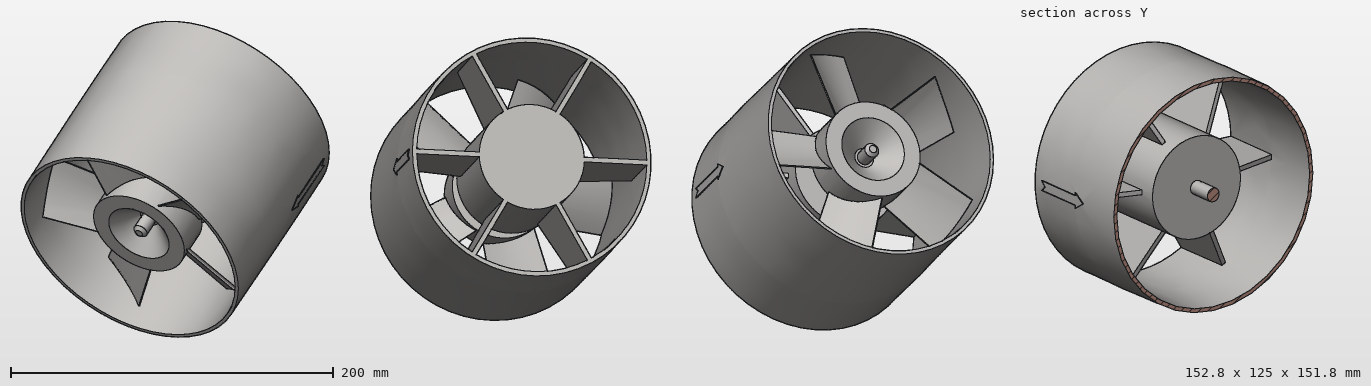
import cadquery as cq
import math


duct_length = 125.0
seam_y = 81.0
seam_outer_radius = 75.9
seam_inner_radius = 72.5
draft_angle = 0.4

arrow_top_radius = 76.4
arrow_tip_y = 72.4
arrow_tail_y = 116.7
arrow_notch_depth = 3.5
arrow_head_half_width = 5.2
arrow_stem_half_width = 3.2

hub_radius = 31.5
hub_front_y = 12.8
hub_length = 24.3
recess_mouth_radius = 20.9
recess_floor_radius = 6.3
recess_depth = 14.7
shaft_radius = 4.6
shaft_chamfer = 2.1

blade_count = 5
first_blade_angle = 39.8
blade_tip_radius = 70.7
blade_mid_y = 25.0
blade_stagger = 33.0
blade_thickness = 0.8
blade_root_station = 27.5
blade_end_station = 71.8
blade_root_chord = 34.8
blade_end_chord = 40.0
camber_ratio = 0.06

body_radius = 33.3
body_gap = 21.4
strut_count = 6
strut_thickness = 3.0
strut_slope = 15.0
joint_overlap = 1.2

hub_back_y = hub_front_y + hub_length
body_front_y = hub_back_y + body_gap


def revolve_about_axis(points):
    """Revolve a closed (radius, y) outline about the Y axis."""
    return cq.Workplane("XY").polyline(points).close().revolve(360, (0, 0), (0, 1))


def copies_about_axis(solid, count, first_angle=0.0):
    """Copies of a solid spaced evenly about Y, with angles counted from +X towards +Z."""
    step = 360.0 / count
    return [solid.rotate((0, 0, 0), (0, 1, 0), -(first_angle + i * step)) for i in range(count)]


def make_duct():
    taper = math.tan(math.radians(draft_angle))
    front_inset = seam_y * taper
    back_inset = (duct_length - seam_y) * taper
    return revolve_about_axis([
        (seam_outer_radius - front_inset, 0),
        (seam_outer_radius, seam_y),
        (seam_outer_radius - back_inset, duct_length),
        (seam_inner_radius + back_inset, duct_length),
        (seam_inner_radius, seam_y),
        (seam_inner_radius + front_inset, 0),
    ])


def make_arrows():
    half_outline = [
        (arrow_tip_y, 0),
        (seam_y, arrow_head_half_width),
        (seam_y, arrow_stem_half_width),
        (arrow_tail_y, arrow_stem_half_width),
        (arrow_tail_y - arrow_notch_depth, 0),
    ]
    mirrored_half = [(y, -z) for y, z in reversed(half_outline[1:-1])]
    wall_middle = (seam_outer_radius + seam_inner_radius) / 2
    prism = (
        cq.Workplane("YZ")
        .polyline(half_outline + mirrored_half)
        .close()
        .extrude(arrow_top_radius, both=True)
    )
    raised_skin = (
        cq.Workplane("XZ")
        .circle(arrow_top_radius)
        .circle(wall_middle)
        .extrude(-duct_length)
    )
    return prism.intersect(raised_skin)


def make_hub():
    floor_y = hub_front_y + recess_depth
    return revolve_about_axis([
        (0, hub_back_y),
        (hub_radius, hub_back_y),
        (hub_radius, hub_front_y),
        (recess_mouth_radius, hub_front_y),
        (recess_floor_radius, floor_y),
        (0, floor_y),
    ])


def make_shaft():
    return revolve_about_axis([
        (0, hub_front_y),
        (shaft_radius - shaft_chamfer, hub_front_y),
        (shaft_radius, hub_front_y + shaft_chamfer),
        (shaft_radius, body_front_y + joint_overlap),
        (0, body_front_y + joint_overlap),
    ])


def blade_section(sketch, chord):
    """Cambered strip of even thickness with rounded edges, drawn as (y, tangential)."""
    along = (-math.sin(math.radians(blade_stagger)), math.cos(math.radians(blade_stagger)))
    across = (along[1], -along[0])

    def point(distance_along, distance_across):
        y = blade_mid_y + distance_along * along[0] + distance_across * across[0]
        return (y, distance_along * along[1] + distance_across * across[1])

    edge_radius = blade_thickness / 2
    half = chord / 2 - edge_radius
    camber = camber_ratio * chord
    return (
        sketch.moveTo(*point(half, 0))
        .threePointArc(point(0, camber), point(-half, 0))
        .threePointArc(point(-half - edge_radius, edge_radius), point(-half, blade_thickness))
        .threePointArc(point(0, camber + blade_thickness), point(half, blade_thickness))
        .threePointArc(point(half + edge_radius, edge_radius), point(half, 0))
        .close()
    )


def make_blade():
    root = blade_section(cq.Workplane("YZ").workplane(offset=blade_root_station), blade_root_chord)
    span = blade_end_station - blade_root_station
    blade = blade_section(root.workplane(offset=span), blade_end_chord).loft(ruled=True)
    tip_trim = cq.Workplane("XZ").circle(blade_tip_radius).extrude(-duct_length)
    return blade.intersect(tip_trim)


def make_body():
    length = duct_length - body_front_y
    return cq.Workplane("XZ", origin=(0, body_front_y, 0)).circle(body_radius).extrude(-length)


def make_strut():
    """Flat plate from the body to the duct; its front edge leans back towards the duct."""
    inner_x = body_radius - joint_overlap
    outer_x = seam_inner_radius + joint_overlap
    lean = (outer_x - inner_x) * math.tan(math.radians(strut_slope))
    outline = [
        (inner_x, seam_y - lean),
        (outer_x, seam_y),
        (outer_x, duct_length),
        (inner_x, duct_length),
    ]
    return cq.Workplane("XY").polyline(outline).close().extrude(strut_thickness / 2, both=True)


result = make_duct().union(make_arrows())
for strut in copies_about_axis(make_strut(), strut_count):
    result = result.union(strut)
result = result.union(make_body()).union(make_shaft()).union(make_hub())
for blade in copies_about_axis(make_blade(), blade_count, first_blade_angle):
    result = result.union(blade)